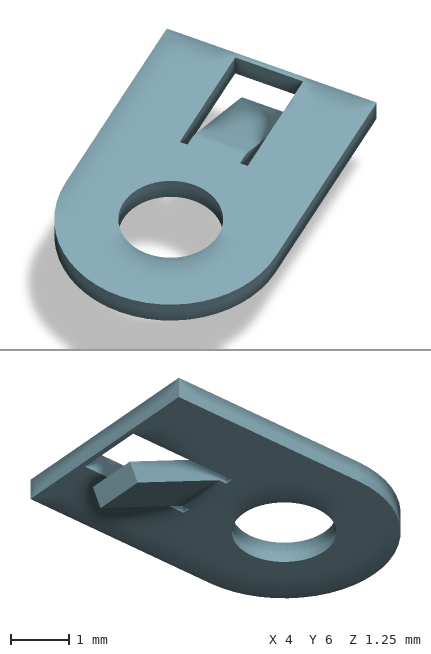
import cadquery as cq
import math

length = 6.0
width = 4.0
thickness = 0.4
hole_diameter = 1.8

window_width = 1.295
window_length = 2.195
back_rim = 0.1

tab_width = 1.0
tab_angle = 25.0
tab_straight = 1.98
bend_setback = 2.16
inner_bend_radius = 0.1

end_radius = width / 2
back_y = length - end_radius
outer_bend_radius = inner_bend_radius + thickness
window_back_y = back_y - back_rim
window_front_y = window_back_y - window_length
bend_y = back_y - bend_setback
bend_center_z = -thickness - inner_bend_radius


def make_plate():
    """Plate with its top face at Z = 0 and the hole at the origin."""
    outline = (
        cq.Workplane("XY")
        .moveTo(-end_radius, 0)
        .threePointArc((0, -end_radius), (end_radius, 0))
        .lineTo(end_radius, back_y)
        .lineTo(-end_radius, back_y)
        .close()
    )
    return outline.extrude(-thickness).cut(
        cq.Workplane("XY").circle(hole_diameter / 2).extrude(-thickness)
    )


def make_window():
    return (
        cq.Workplane("XY")
        .center(0, (window_back_y + window_front_y) / 2)
        .rect(window_width, window_length)
        .extrude(-thickness)
    )


def bend_point(radius, angle):
    """(Y, Z) point on the bend, with the angle in degrees from vertical."""
    turn = math.radians(angle)
    return (bend_y + radius * math.sin(turn), bend_center_z + radius * math.cos(turn))


def tip_point(radius):
    """(Y, Z) corner at the free end of the tab."""
    y, z = bend_point(radius, tab_angle)
    slope = math.radians(tab_angle)
    return (y + tab_straight * math.cos(slope), z - tab_straight * math.sin(slope))


def make_tab():
    """Side profile of the flat root, the bend and the sloping leaf."""
    return (
        cq.Workplane("YZ")
        .moveTo(window_front_y, 0)
        .lineTo(bend_y, 0)
        .threePointArc(
            bend_point(outer_bend_radius, tab_angle / 2),
            bend_point(outer_bend_radius, tab_angle),
        )
        .lineTo(*tip_point(outer_bend_radius))
        .lineTo(*tip_point(inner_bend_radius))
        .lineTo(*bend_point(inner_bend_radius, tab_angle))
        .threePointArc(
            bend_point(inner_bend_radius, tab_angle / 2),
            bend_point(inner_bend_radius, 0),
        )
        .lineTo(window_front_y, -thickness)
        .close()
        .extrude(tab_width / 2, both=True)
    )


result = make_plate().cut(make_window()).union(make_tab())